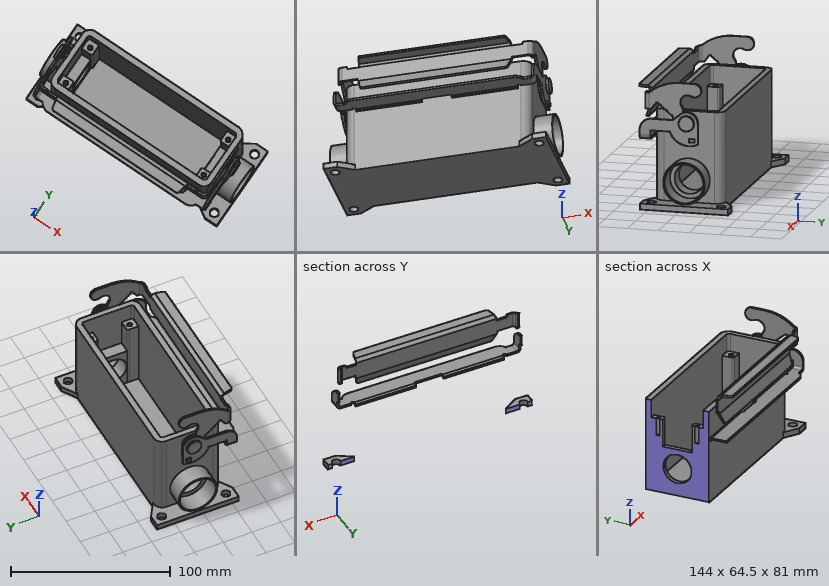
import cadquery as cq
import math

LENGTH = 144.0
BODY_HALF_X = 60.0
BODY_HALF_Y = 22.2
BODY_TOP = 62.8
BODY_CORNER_R = 5.9
CAVITY_HALF_X = 56.3
CAVITY_HALF_Y = 18.0
CAVITY_CORNER_R = 1.9

FOOT_HALF_Y = 28.5
FOOT_THICKNESS = 3.9
FOOT_SHOULDER_X = 63.2
FOOT_ROOT_X = 53.1
FOOT_HOLE_X = 66.1
FOOT_HOLE_Y = 22.5
FOOT_HOLE_D = 5.6

POST_INNER_X = 48.4
POST_INNER_Y = 10.1
POST_TOP = 50.7
POST_EDGE_R = 1.3
POST_HOLE_X = 52.1
POST_HOLE_Y = 13.5
POST_HOLE_R = 1.2
POST_HOLE_DEPTH = 11.5
POST_HOLE_CHAMFER = 0.5

ENTRY_Z = 18.6
ENTRY_OUTER_R = 13.5
ENTRY_BORE_R = 12.5
ENTRY_HOLE_R = 9.6
ENTRY_SHOULDER_X = 59.0
ENTRY_BLOCK_TOP = ENTRY_Z + ENTRY_OUTER_R
LEFT_BLOCK_FACE_X = 49.4

PIVOT_Z = 55.9
PIN_R = 2.7
PIN_HEAD_R = 4.9
PIN_HEAD_INNER_X = 65.5
PIN_HEAD_OUTER_X = 67.1

SHEET = 1.5
BEND_R = 3.0

DIAGONAL = math.sqrt(0.5)

HOOK_OUTER_X = 63.2
HOOK_FRONT_Y = -28.2
HOOK_TOP = 81.0
HOOK_TIP_R = 4.3
HOOK_TIP_Y = 4.3
HOOK_THROAT_Z = 68.4
HOOK_THROAT_DROP = 0.9
HOOK_NECK_Y = -3.0
HOOK_NECK_Z = 64.1
HOOK_EYE_R = 6.3
HOOK_FOOT_Z = 45.0
HOOK_FOOT_BACK_Z = 46.7
HOOK_FOOT_FRONT_Z = 51.1
HOOK_ARCH_START_Z = 59.0
HOOK_ARCH_TOP_Z = 67.5
HOOK_ARCH_BACK_Y = -19.6
HOOK_ARCH_FRONT_Y = -20.3
HOOK_ARCH_END_Y = -23.6
HOOK_BACK_R = 31.5
HOOK_BACK_START_Y = -5.0
BAND_BOTTOM = 63.0
BAND_TOP = 73.0
BAND_NOTCH_TOP = 71.4
BAND_NOTCH_X = 56.5
BAND_NOTCH_SLOPE = 0.7
TAB_ROOT_X = 49.5
TAB_END_X = 47.5
TAB_CORNER_R = 1.7
GRIP_Y = -36.0
GRIP_TOP = 74.6
GRIP_BEND_Y = -29.5
FLAP_ROOT_X = 50.1
FLAP_TIP_Y = -31.2
FLAP_TIP_Z = 54.0
FLAP_BEND_Z = 61.5

RELEASE_OUTER_X = 65.0
RELEASE_FRONT_Y = -30.8
RELEASE_NOSE_Y = -34.3
RELEASE_EYE_R = 6.9
RELEASE_BACK_Y = RELEASE_EYE_R
ARM_TOP = 57.2
ARM_BOTTOM = 49.7
ARM_REAR_Y = -23.9
ARM_CORNER_R = 7.5
ARM_ROOT_Y = -9.5
LOBE_Y = 1.2
LOBE_Z = 54.1
LOBE_R = 13.1
SHELF_BOTTOM = 43.6
NOSE_START_X = 57.9
NOSE_FULL_X = 51.8
LIP_OUTER_X = 52.4
LIP_INNER_X = 9.6
LIP_Y = -22.3
LIP_BOTTOM = 42.8
WINDOW_Y = -24.9
WINDOW_CORNER_R = 0.9
RELIEF_R = 1.2
STOP_Y = 3.3
STOP_Z = 45.0
STOP_LENGTH = 3.3
STOP_HEIGHT = 2.2
STOP_OUTER_X = 66.1


def block(x0, x1, y0, y1, z0, z1):
    """Box between two opposite corners."""
    return cq.Workplane("XY").box(x1 - x0, y1 - y0, z1 - z0, centered=False).translate((x0, y0, z0))


def x_cylinder(radius, x0, x1, z):
    """Cylinder along X at Y = 0."""
    return cq.Workplane("YZ", origin=(x0, 0, 0)).center(0, z).circle(radius).extrude(x1 - x0)


def both_ends(shape):
    """The shape together with its mirror image across the YZ plane."""
    return shape.union(shape.mirror("YZ"))


def shell():
    """Open-topped housing with its mounting feet."""
    outside = cq.Workplane("XY").rect(2 * BODY_HALF_X, 2 * BODY_HALF_Y).extrude(BODY_TOP)
    outside = outside.edges("|Z").fillet(BODY_CORNER_R)
    for side in (-1, 1):
        foot = cq.Workplane("XY").polyline([
            (side * LENGTH / 2, -FOOT_HALF_Y),
            (side * FOOT_SHOULDER_X, -FOOT_HALF_Y),
            (side * FOOT_ROOT_X, -BODY_HALF_Y),
            (side * FOOT_ROOT_X, BODY_HALF_Y),
            (side * FOOT_SHOULDER_X, FOOT_HALF_Y),
            (side * LENGTH / 2, FOOT_HALF_Y),
        ]).close().extrude(FOOT_THICKNESS)
        outside = outside.union(foot)
    holes = (
        cq.Workplane("XY")
        .rect(2 * FOOT_HOLE_X, 2 * FOOT_HOLE_Y, forConstruction=True)
        .vertices()
        .circle(FOOT_HOLE_D / 2)
        .extrude(FOOT_THICKNESS)
    )
    cavity = (
        cq.Workplane("XY", origin=(0, 0, FOOT_THICKNESS))
        .rect(2 * CAVITY_HALF_X, 2 * CAVITY_HALF_Y)
        .extrude(BODY_TOP - FOOT_THICKNESS)
        .edges("|Z")
        .fillet(CAVITY_CORNER_R)
    )
    return outside.cut(holes).cut(cavity)


def add_posts(body):
    for sx in (-1, 1):
        for sy in (-1, 1):
            outer_x = (CAVITY_HALF_X + BODY_HALF_X) / 2
            outer_y = (CAVITY_HALF_Y + BODY_HALF_Y) / 2
            post = block(POST_INNER_X, outer_x, POST_INNER_Y, outer_y, 0, POST_TOP)
            post = post.edges("|Z and <X and <Y").fillet(POST_EDGE_R)
            hole = (
                cq.Workplane("XY", origin=(POST_HOLE_X, POST_HOLE_Y, POST_TOP))
                .circle(POST_HOLE_R)
                .extrude(-POST_HOLE_DEPTH)
            )
            mouth = cq.Workplane("XY").add(cq.Solid.makeCone(
                POST_HOLE_R, POST_HOLE_R + POST_HOLE_CHAMFER, POST_HOLE_CHAMFER,
                pnt=cq.Vector(POST_HOLE_X, POST_HOLE_Y, POST_TOP - POST_HOLE_CHAMFER)))
            post = post.cut(hole).cut(mouth)
            if sx < 0:
                post = post.mirror("YZ")
            if sy < 0:
                post = post.mirror("XZ")
            body = body.union(post)
    return body


def add_cable_entries(body):
    for x0, x1 in ((-BODY_HALF_X, -LEFT_BLOCK_FACE_X), (POST_INNER_X, BODY_HALF_X)):
        body = body.union(block(x0, x1, -POST_INNER_Y, POST_INNER_Y, FOOT_THICKNESS, ENTRY_BLOCK_TOP))
    body = body.union(both_ends(x_cylinder(ENTRY_OUTER_R, CAVITY_HALF_X, LENGTH / 2, ENTRY_Z)))
    body = body.cut(both_ends(x_cylinder(ENTRY_BORE_R, ENTRY_SHOULDER_X, LENGTH / 2, ENTRY_Z)))
    return body.cut(x_cylinder(ENTRY_HOLE_R, -LENGTH / 2, LENGTH / 2, ENTRY_Z))


def pivots():
    shaft = x_cylinder(PIN_R, CAVITY_HALF_X + SHEET, PIN_HEAD_OUTER_X, PIVOT_Z)
    head = x_cylinder(PIN_HEAD_R, PIN_HEAD_INNER_X, PIN_HEAD_OUTER_X, PIVOT_Z)
    return both_ends(shaft.union(head))


def hook_side_outline():
    """Side outline of the locking lever in the YZ plane."""
    tip_z = HOOK_TOP - HOOK_TIP_R
    gap = math.hypot(HOOK_TIP_Y, tip_z - HOOK_THROAT_Z)
    throat_r = gap - HOOK_TIP_R
    share = throat_r / gap
    meet = (HOOK_TIP_Y * share, HOOK_THROAT_Z + (tip_z - HOOK_THROAT_Z) * share)
    tip_mid = (HOOK_TIP_Y + HOOK_TIP_R, tip_z)
    throat_mid = (-throat_r * DIAGONAL, HOOK_THROAT_Z + throat_r * DIAGONAL)
    throat_end = (-math.sqrt(throat_r ** 2 - HOOK_THROAT_DROP ** 2), HOOK_THROAT_Z - HOOK_THROAT_DROP)
    eye_mid = HOOK_EYE_R * DIAGONAL

    fold_y = HOOK_FRONT_Y + BEND_R
    back_run = HOOK_BACK_START_Y - fold_y
    back_z = HOOK_TOP - HOOK_BACK_R

    def back_point(y):
        run = HOOK_BACK_START_Y - y
        return y, back_z + math.sqrt(HOOK_BACK_R ** 2 - run ** 2)

    return (
        cq.Workplane("YZ")
        .moveTo(HOOK_BACK_START_Y, HOOK_TOP)
        .lineTo(HOOK_TIP_Y, HOOK_TOP)
        .threePointArc(tip_mid, meet)
        .threePointArc(throat_mid, throat_end)
        .lineTo(HOOK_NECK_Y, HOOK_NECK_Z)
        .lineTo(HOOK_NECK_Y, PIVOT_Z + HOOK_EYE_R)
        .lineTo(0, PIVOT_Z + HOOK_EYE_R)
        .threePointArc((eye_mid, PIVOT_Z + eye_mid), (HOOK_EYE_R, PIVOT_Z))
        .lineTo(HOOK_EYE_R, HOOK_FOOT_BACK_Z)
        .threePointArc((LOBE_Y, HOOK_FOOT_Z), (ARM_ROOT_Y, HOOK_FOOT_FRONT_Z))
        .lineTo(ARM_ROOT_Y, HOOK_ARCH_START_Z)
        .lineTo(HOOK_ARCH_BACK_Y, HOOK_ARCH_TOP_Z)
        .lineTo(HOOK_ARCH_FRONT_Y, HOOK_ARCH_TOP_Z)
        .lineTo(HOOK_ARCH_END_Y, BAND_BOTTOM)
        .lineTo(HOOK_FRONT_Y, BAND_BOTTOM)
        .lineTo(HOOK_FRONT_Y, BAND_TOP)
        .lineTo(*back_point(fold_y))
        .threePointArc(back_point(fold_y + back_run / 2), (HOOK_BACK_START_Y, HOOK_TOP))
        .close()
    )


def bent_strip(plane, half_width, front, back, depth):
    """Sheet folded to a U: two legs and a web with rounded bends, extruded from the given plane."""
    def solid_u(half, web, radius):
        sagitta = radius * (1 - DIAGONAL)
        return (
            cq.Workplane(plane)
            .moveTo(-half, back)
            .lineTo(-half, web + radius)
            .threePointArc((-half + sagitta, web + sagitta), (-half + radius, web))
            .lineTo(half - radius, web)
            .threePointArc((half - sagitta, web + sagitta), (half, web + radius))
            .lineTo(half, back)
            .close()
            .extrude(depth)
        )
    inside = solid_u(half_width - SHEET, front + SHEET, BEND_R - SHEET)
    return solid_u(half_width, front, BEND_R).cut(inside)


def tapered_tab(plane, root_x, root, tip_x, tip, depth):
    """Flat tab narrowing from its root to a tip with rounded corners."""
    tab = (
        cq.Workplane(plane)
        .polyline([(-root_x, root), (root_x, root), (tip_x, tip), (-tip_x, tip)])
        .close()
        .extrude(depth)
    )
    tip_edges = "|Z and <Y" if plane == "XY" else "|Y and <Z"
    return tab.edges(tip_edges).fillet(TAB_CORNER_R)


def locking_lever():
    strip = bent_strip("XY", HOOK_OUTER_X, HOOK_FRONT_Y, HOOK_TIP_Y + 2 * HOOK_TIP_R, HOOK_TOP)
    sides = hook_side_outline().extrude(LENGTH / 2, both=True)
    lever = strip.intersect(sides)

    slope_x = BAND_NOTCH_X + BAND_NOTCH_SLOPE
    notch = (
        cq.Workplane("XZ", origin=(0, HOOK_FRONT_Y + SHEET, 0))
        .polyline([
            (-slope_x, HOOK_TOP),
            (-slope_x, BAND_TOP),
            (-BAND_NOTCH_X, BAND_NOTCH_TOP),
            (BAND_NOTCH_X, BAND_NOTCH_TOP),
            (slope_x, BAND_TOP),
            (slope_x, HOOK_TOP),
        ])
        .close()
        .extrude(SHEET)
    )
    lever = lever.cut(notch)

    grip_section = (
        cq.Workplane("YZ")
        .polyline([
            (HOOK_FRONT_Y + SHEET, BAND_NOTCH_TOP),
            (HOOK_FRONT_Y + SHEET, BAND_TOP),
            (GRIP_BEND_Y, GRIP_TOP),
            (GRIP_Y, GRIP_TOP),
            (GRIP_Y, GRIP_TOP - SHEET),
            (GRIP_BEND_Y + SHEET / 3, GRIP_TOP - SHEET),
            (HOOK_FRONT_Y, BAND_NOTCH_TOP),
        ])
        .close()
        .extrude(TAB_ROOT_X, both=True)
    )
    grip = grip_section.intersect(
        tapered_tab("XY", TAB_ROOT_X, HOOK_FRONT_Y + SHEET, TAB_END_X, GRIP_Y, HOOK_TOP))

    run = HOOK_FRONT_Y - FLAP_TIP_Y
    drop = FLAP_BEND_Z - FLAP_TIP_Z
    slant = math.hypot(run, drop)
    flap_section = (
        cq.Workplane("YZ")
        .polyline([
            (HOOK_FRONT_Y, BAND_BOTTOM),
            (HOOK_FRONT_Y, FLAP_BEND_Z),
            (FLAP_TIP_Y, FLAP_TIP_Z + SHEET * run / slant),
            (FLAP_TIP_Y + SHEET * drop / slant, FLAP_TIP_Z),
            (HOOK_FRONT_Y + SHEET, FLAP_BEND_Z - SHEET * run / slant),
            (HOOK_FRONT_Y + SHEET, BAND_BOTTOM),
        ])
        .close()
        .extrude(FLAP_ROOT_X, both=True)
    )
    flap = flap_section.intersect(
        tapered_tab("XZ", FLAP_ROOT_X, BAND_BOTTOM, TAB_END_X, FLAP_TIP_Z, -2 * GRIP_Y))
    return lever.union(grip).union(flap)


def release_side():
    """One flat side of the release lever, lying against the outside of the locking lever."""
    eye_mid = RELEASE_EYE_R * DIAGONAL
    fold_z = SHELF_BOTTOM + BEND_R
    lobe_end_y = LOBE_Y - math.sqrt(LOBE_R ** 2 - (LOBE_Z - ARM_BOTTOM) ** 2)
    back_z = LOBE_Z - math.sqrt(LOBE_R ** 2 - (RELEASE_BACK_Y - LOBE_Y) ** 2)
    corner = ARM_CORNER_R * (1 - DIAGONAL)
    return (
        cq.Workplane("YZ", origin=(RELEASE_OUTER_X - SHEET, 0, 0))
        .moveTo(RELEASE_BACK_Y, back_z)
        .lineTo(RELEASE_BACK_Y, PIVOT_Z)
        .threePointArc((0, PIVOT_Z + RELEASE_EYE_R), (-eye_mid, PIVOT_Z + eye_mid))
        .lineTo(ARM_ROOT_Y, ARM_TOP)
        .lineTo(RELEASE_FRONT_Y + ARM_CORNER_R, ARM_TOP)
        .threePointArc((RELEASE_FRONT_Y + corner, ARM_TOP - corner),
                       (RELEASE_FRONT_Y, ARM_TOP - ARM_CORNER_R))
        .lineTo(RELEASE_FRONT_Y, fold_z)
        .lineTo(ARM_REAR_Y, fold_z)
        .lineTo(ARM_REAR_Y, ARM_BOTTOM)
        .lineTo(lobe_end_y, ARM_BOTTOM)
        .threePointArc((LOBE_Y, LOBE_Z - LOBE_R), (RELEASE_BACK_Y, back_z))
        .close()
        .extrude(SHEET)
    )


def release_lever():
    stop = block(RELEASE_OUTER_X - SHEET, STOP_OUTER_X,
                 STOP_Y - STOP_LENGTH / 2, STOP_Y + STOP_LENGTH / 2,
                 STOP_Z - STOP_HEIGHT / 2, STOP_Z + STOP_HEIGHT / 2)
    lever = both_ends(release_side().union(stop))

    shelf_depth = ARM_REAR_Y - RELEASE_FRONT_Y
    shelf = bent_strip("XZ", RELEASE_OUTER_X, SHELF_BOTTOM, ARM_BOTTOM, shelf_depth)
    shelf = shelf.translate((0, ARM_REAR_Y, 0))
    rise = RELEASE_FRONT_Y - RELEASE_NOSE_Y
    spread = NOSE_START_X - NOSE_FULL_X
    nose_r = (spread ** 2 + rise ** 2) / (2 * rise)
    mid_x = NOSE_FULL_X + spread / 2
    mid_y = RELEASE_NOSE_Y + nose_r - math.sqrt(nose_r ** 2 - (spread / 2) ** 2)
    nose = (
        cq.Workplane("XY", origin=(0, 0, SHELF_BOTTOM))
        .moveTo(-NOSE_START_X, RELEASE_FRONT_Y)
        .threePointArc((-mid_x, mid_y), (-NOSE_FULL_X, RELEASE_NOSE_Y))
        .lineTo(NOSE_FULL_X, RELEASE_NOSE_Y)
        .threePointArc((mid_x, mid_y), (NOSE_START_X, RELEASE_FRONT_Y))
        .close()
        .extrude(SHEET)
    )
    lever = lever.union(shelf).union(nose)

    lip = (
        cq.Workplane("YZ", origin=(LIP_INNER_X, 0, 0))
        .polyline([
            (ARM_REAR_Y, SHELF_BOTTOM + SHEET),
            (LIP_Y, SHELF_BOTTOM + SHEET / 2),
            (LIP_Y, LIP_BOTTOM),
            (ARM_REAR_Y + SHEET / 5, LIP_BOTTOM),
            (ARM_REAR_Y, SHELF_BOTTOM),
        ])
        .close()
        .extrude(LIP_OUTER_X - LIP_INNER_X)
    )
    lever = lever.union(both_ends(lip))
    window = block(-LIP_INNER_X, LIP_INNER_X, WINDOW_Y, LIP_Y, LIP_BOTTOM, ARM_BOTTOM)
    window = window.edges("|Z and <Y").fillet(WINDOW_CORNER_R)
    relief = (
        cq.Workplane("XY", origin=(LIP_OUTER_X + RELIEF_R, ARM_REAR_Y, SHELF_BOTTOM))
        .circle(RELIEF_R)
        .extrude(SHEET)
    )
    return lever.cut(window).cut(both_ends(relief))


housing = add_cable_entries(add_posts(shell()))
result = housing.union(locking_lever()).union(release_lever()).union(pivots())